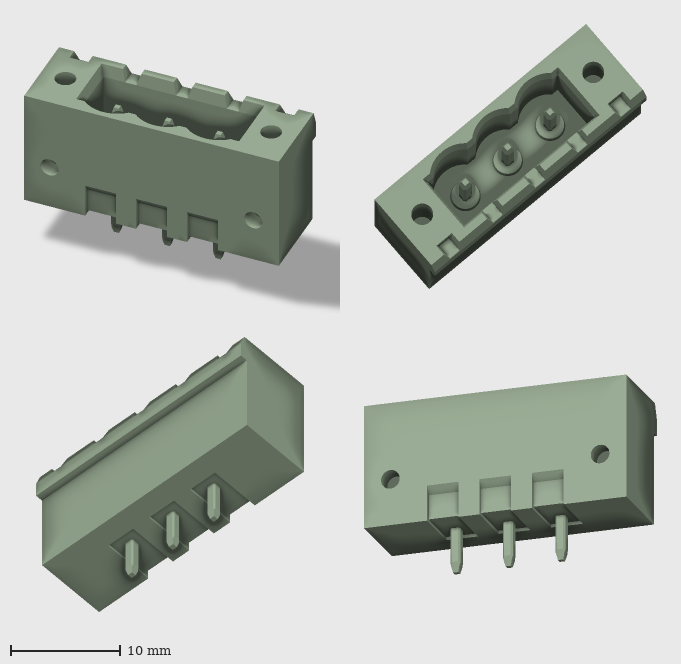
import cadquery as cq


LENGTH = 25.4
DEPTH = 7.75
HEIGHT = 11.95

LIP_REAR = 8.55
LIP_BOTTOM = 8.95
LIP_SLOPE_DEPTH = 0.5
LIP_SLOPE_HEIGHT = 1.35

PITCH = 5.08
ROW_Y = 3.89
CONTACT_X = [-PITCH, 0, PITCH]
END_X = 10.25

CAVITY_LENGTH = 16.25
CAVITY_FRONT = 1.42
CAVITY_REAR = 7.32
CAVITY_FLOOR = 3.94
LEAD_IN = 0.33
LEAD_IN_HEIGHT = 1.2
SCALLOP_RADIUS = 3.3

BOSS_BASE_RADIUS = 1.4
BOSS_TOP_RADIUS = 1.3
BOSS_HEIGHT = 0.5

NOTCH_TOP_WIDTH = 1.85
NOTCH_FLOOR_WIDTH = 1.15

WINDOW_WIDTH = 3.07
WINDOW_HEIGHT = 3.43
WINDOW_DEPTH = 0.5
WINDOW_SLOPE_HEIGHT = 0.75
CHANNEL_HEIGHT = 0.3
CHANNEL_REAR = ROW_Y + WINDOW_WIDTH / 2

FRONT_HOLE_X = 2 * PITCH
FRONT_HOLE_Z = 4.47
FRONT_HOLE_DIAMETER = 1.8
FRONT_HOLE_DEPTH = 1.78

INSERT_DIAMETER = 3.7
INSERT_BORE = 2.0
INSERT_LENGTH = 6.0

PIN_WIDTH = 1.0
PIN_CHAMFER = 0.18
PIN_TOP = 10.29
PIN_BOTTOM = -3.95
PIN_TIP_WIDTH = 0.5
PIN_TIP_LENGTH = 0.97


def make_block():
    """Side profile of the block with its rear lip, extruded along X."""
    profile = [
        (0, 0),
        (DEPTH, 0),
        (DEPTH, LIP_BOTTOM),
        (LIP_REAR, LIP_BOTTOM),
        (LIP_REAR, HEIGHT - LIP_SLOPE_HEIGHT),
        (LIP_REAR - LIP_SLOPE_DEPTH, HEIGHT),
        (0, HEIGHT),
    ]
    return cq.Workplane("YZ").polyline(profile).close().extrude(LENGTH / 2, both=True)


def make_cavity():
    """Rectangular well with one round scallop per contact, all with a sloped lead-in."""
    width = CAVITY_REAR - CAVITY_FRONT
    middle_y = (CAVITY_REAR + CAVITY_FRONT) / 2
    lead_in_bottom = HEIGHT - LEAD_IN_HEIGHT
    inner_length = CAVITY_LENGTH - 2 * LEAD_IN
    inner_width = width - 2 * LEAD_IN
    cavity = (
        cq.Workplane("XY", origin=(0, middle_y, lead_in_bottom))
        .rect(inner_length, inner_width)
        .workplane(offset=LEAD_IN_HEIGHT)
        .rect(CAVITY_LENGTH, width)
        .loft()
    )
    well = cq.Workplane("XY", origin=(0, middle_y, CAVITY_FLOOR)).rect(inner_length, inner_width)
    cavity = cavity.union(well.extrude(lead_in_bottom - CAVITY_FLOOR))
    for x in CONTACT_X:
        cavity = cavity.union(make_scallop(x))
    for x in CONTACT_X:
        cavity = cavity.cut(make_boss(x))
    return cavity


def make_scallop(x):
    """Front part of a round well centred on a contact, coned at the top."""
    lower_radius = SCALLOP_RADIUS - LEAD_IN
    lead_in_bottom = HEIGHT - LEAD_IN_HEIGHT
    half_profile = [
        (0, CAVITY_FLOOR),
        (lower_radius, CAVITY_FLOOR),
        (lower_radius, lead_in_bottom),
        (SCALLOP_RADIUS, HEIGHT),
        (0, HEIGHT),
    ]
    round_well = cq.Workplane("XZ", origin=(x, ROW_Y, 0)).polyline(half_profile).close().revolve()
    front_part = cq.Workplane("XY", origin=(x, 0, 0)).box(
        2 * SCALLOP_RADIUS, CAVITY_FRONT + LEAD_IN, HEIGHT, centered=(True, False, False)
    )
    return round_well.intersect(front_part)


def make_boss(x):
    return (
        cq.Workplane("XY", origin=(x, ROW_Y, CAVITY_FLOOR))
        .circle(BOSS_BASE_RADIUS)
        .workplane(offset=BOSS_HEIGHT)
        .circle(BOSS_TOP_RADIUS)
        .loft()
    )


def make_notch(x):
    """Tapered notch as deep as the lead-in, from the cavity's rear wall out through the lip."""
    profile = [
        (-NOTCH_TOP_WIDTH / 2, HEIGHT),
        (-NOTCH_FLOOR_WIDTH / 2, HEIGHT - LEAD_IN_HEIGHT),
        (NOTCH_FLOOR_WIDTH / 2, HEIGHT - LEAD_IN_HEIGHT),
        (NOTCH_TOP_WIDTH / 2, HEIGHT),
    ]
    front = CAVITY_REAR - LEAD_IN
    return (
        cq.Workplane("XZ", origin=(x, front, 0)).polyline(profile).close().extrude(front - LIP_REAR)
    )


def make_window(x):
    """Front window with a sloped head, opening into the channel under the contact."""
    profile = [
        (0, 0),
        (CHANNEL_REAR, 0),
        (CHANNEL_REAR, CHANNEL_HEIGHT),
        (WINDOW_DEPTH, CHANNEL_HEIGHT),
        (WINDOW_DEPTH, WINDOW_HEIGHT - WINDOW_SLOPE_HEIGHT),
        (0, WINDOW_HEIGHT),
    ]
    window = cq.Workplane("YZ", origin=(x, 0, 0)).polyline(profile).close()
    return window.extrude(WINDOW_WIDTH / 2, both=True)


def make_front_hole(x):
    hole = cq.Workplane("XZ", origin=(x, 0, FRONT_HOLE_Z)).circle(FRONT_HOLE_DIAMETER / 2)
    return hole.extrude(-FRONT_HOLE_DEPTH)


def make_insert_seat(x):
    seat = cq.Workplane("XY", origin=(x, ROW_Y, HEIGHT)).circle(INSERT_DIAMETER / 2)
    return seat.extrude(-INSERT_LENGTH)


def make_pin_bar(x):
    """Square bar with chamfered corners, as long as the pin."""
    bar = cq.Workplane("XY", origin=(x, ROW_Y, PIN_BOTTOM)).rect(PIN_WIDTH, PIN_WIDTH)
    return bar.extrude(PIN_TOP - PIN_BOTTOM).edges("|Z").chamfer(PIN_CHAMFER)


def make_housing():
    housing = make_block().cut(make_cavity())
    for x in [-END_X, *CONTACT_X, END_X]:
        housing = housing.cut(make_notch(x))
    for x in CONTACT_X:
        housing = housing.cut(make_window(x)).cut(make_pin_bar(x))
    for side in (-1, 1):
        housing = housing.cut(make_front_hole(side * FRONT_HOLE_X))
        housing = housing.cut(make_insert_seat(side * END_X))
    return housing


def make_pin(x):
    """Chamfered bar whose ends are cut to a flat-topped square point."""
    half_width = PIN_WIDTH / 2
    half_tip = PIN_TIP_WIDTH / 2
    outline = [
        (-half_tip, PIN_BOTTOM),
        (half_tip, PIN_BOTTOM),
        (half_width, PIN_BOTTOM + PIN_TIP_LENGTH),
        (half_width, PIN_TOP - PIN_TIP_LENGTH),
        (half_tip, PIN_TOP),
        (-half_tip, PIN_TOP),
        (-half_width, PIN_TOP - PIN_TIP_LENGTH),
        (-half_width, PIN_BOTTOM + PIN_TIP_LENGTH),
    ]
    pin = make_pin_bar(x)
    for plane in ("XZ", "YZ"):
        pointed = cq.Workplane(plane, origin=(x, ROW_Y, 0)).polyline(outline).close()
        pin = pin.intersect(pointed.extrude(PIN_WIDTH, both=True))
    return pin


def make_insert(x):
    bore = cq.Workplane("XY", origin=(x, ROW_Y, HEIGHT)).circle(INSERT_BORE / 2)
    return make_insert_seat(x).cut(bore.extrude(-INSERT_LENGTH))


housing = make_housing()
pins = [make_pin(x) for x in CONTACT_X]
inserts = [make_insert(side * END_X) for side in (-1, 1)]

result = cq.Compound.makeCompound(
    [housing.val(), *[pin.val() for pin in pins], *[insert.val() for insert in inserts]]
)